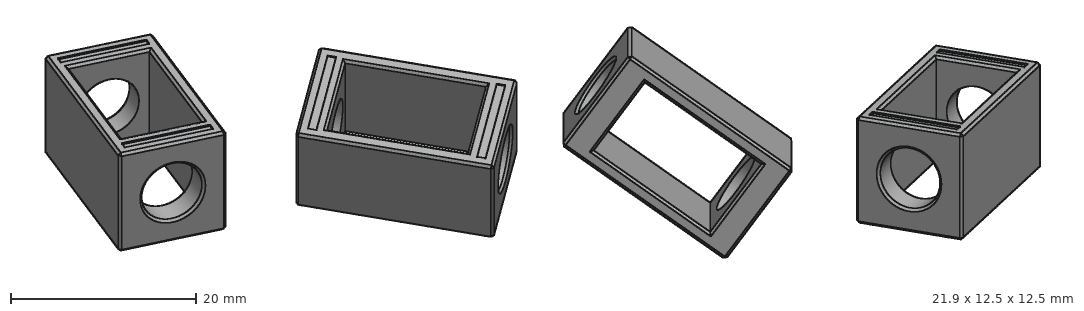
import cadquery as cq

length = 21.88
side = 12.5
edge_chamfer = 0.3

window_length = 15.55
window_width = 9.4

bore_diameter = 7.0

label_length = 10.28
label_width = 0.95
label_depth = 0.2
label_offset = 9.35


def chamfered_block():
    return cq.Workplane("XY").box(length, side, side).edges().chamfer(edge_chamfer)


def window_cutter():
    """Through window, flared by a chamfer at its top and bottom mouths."""
    cutter = cq.Workplane("XY").box(window_length, window_width, side)
    for direction in (1, -1):
        flare = (
            cq.Workplane("XY", origin=(0, 0, direction * side / 2))
            .rect(window_length + 2 * edge_chamfer, window_width + 2 * edge_chamfer)
            .workplane(offset=-direction * edge_chamfer)
            .rect(window_length, window_width)
            .loft(ruled=True)
        )
        cutter = cutter.union(flare)
    return cutter


def bore_cutter():
    """Through bore, countersunk at both outer end faces."""
    radius = bore_diameter / 2
    mouth_radius = radius + edge_chamfer
    half_profile = [
        (-length / 2, 0),
        (-length / 2, mouth_radius),
        (-length / 2 + edge_chamfer, radius),
        (length / 2 - edge_chamfer, radius),
        (length / 2, mouth_radius),
        (length / 2, 0),
    ]
    return cq.Workplane("XY").polyline(half_profile).close().revolve(360, (0, 0, 0), (1, 0, 0))


def label_cutters():
    return (
        cq.Workplane("XY", origin=(0, 0, side / 2))
        .pushPoints([(-label_offset, 0), (label_offset, 0)])
        .rect(label_width, label_length)
        .extrude(-label_depth)
    )


result = chamfered_block().cut(window_cutter()).cut(bore_cutter()).cut(label_cutters())